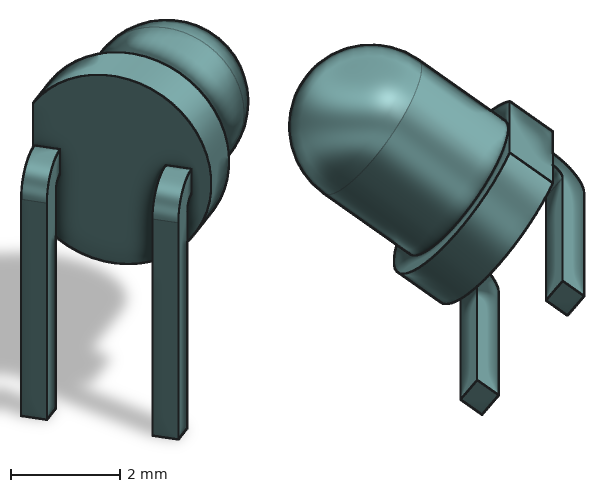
import cadquery as cq


lens_diameter = 3.0
lens_radius = lens_diameter / 2
barrel_length = 2.0

flange_diameter = 3.8
flange_radius = flange_diameter / 2
flange_thickness = 1.0
flat_offset = 1.55

lead_pitch = 2.54
lead_width = 0.5
bend_inner_radius = 0.25
bend_outer_radius = bend_inner_radius + lead_width
bend_center_z = lead_width / 2 - bend_outer_radius
lead_drop = 4.9

diagonal = 2 ** -0.5


def make_lens():
    """Barrel with a hemispherical dome, revolved about the optical axis."""
    barrel_end = flange_thickness + barrel_length
    dome_tip = barrel_end + lens_radius
    dome_mid = lens_radius * diagonal
    return (
        cq.Workplane("XY")
        .moveTo(0, flange_thickness)
        .lineTo(lens_radius, flange_thickness)
        .lineTo(lens_radius, barrel_end)
        .threePointArc((dome_mid, barrel_end + dome_mid), (0, dome_tip))
        .close()
        .revolve(360, (0, 0, 0), (0, 1, 0))
    )


def make_flange():
    """Round flange with a flat on its -X side."""
    flat_half_height = (flange_radius ** 2 - flat_offset ** 2) ** 0.5
    return (
        cq.Workplane("XZ")
        .moveTo(-flat_offset, flat_half_height)
        .threePointArc((flange_radius, 0), (-flat_offset, -flat_half_height))
        .close()
        .extrude(-flange_thickness)
    )


def make_lead(x_center):
    """Square lead that leaves the flange rearward and bends down a quarter turn."""
    outer_mid = (-bend_outer_radius * diagonal, bend_center_z + bend_outer_radius * diagonal)
    inner_mid = (-bend_inner_radius * diagonal, bend_center_z + bend_inner_radius * diagonal)
    return (
        cq.Workplane("YZ", origin=(x_center, 0, 0))
        .moveTo(0, lead_width / 2)
        .threePointArc(outer_mid, (-bend_outer_radius, bend_center_z))
        .lineTo(-bend_outer_radius, -lead_drop)
        .lineTo(-bend_inner_radius, -lead_drop)
        .lineTo(-bend_inner_radius, bend_center_z)
        .threePointArc(inner_mid, (0, -lead_width / 2))
        .close()
        .extrude(lead_width / 2, both=True)
    )


result = make_flange().union(make_lens())
for side in (-1, 1):
    result = result.union(make_lead(side * lead_pitch / 2))